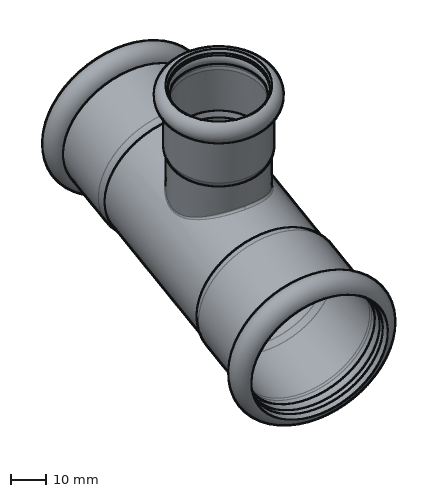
import cadquery as cq

RUN_LENGTH = 117.3
OVERALL_HEIGHT = 83.4
JUNCTION_FILLET = 0.7

RUN_SOCKET = dict(
    bead=52.7,
    bead_width=9.0,
    mouth=44.0,
    seat=42.7,
    seat_start=1.8,
    seat_end=8.2,
    seal_bore=41.6,
    seal_width=2.8,
    socket=45.4,
    socket_bore=42.3,
    step_start=29.6,
    step_end=31.9,
    pipe=44.0,
    pipe_bore=41.0,
)
BRANCH_SOCKET = dict(
    bead=36.7,
    bead_width=7.3,
    mouth=30.0,
    seat=28.9,
    seat_start=1.0,
    seat_end=6.2,
    seal_bore=27.6,
    seal_width=3.3,
    socket=31.4,
    socket_bore=28.4,
    step_start=23.1,
    step_end=25.1,
    pipe=30.0,
    pipe_bore=27.0,
)

BRANCH_HEIGHT = OVERALL_HEIGHT - RUN_SOCKET["bead"] / 2


def outer_half(size, length):
    """Solid of revolution about Z: mouth at Z = length, plain pipe down to Z = 0."""
    bead_end = length - size["bead_width"]
    step_top = length - size["step_start"]
    step_bottom = length - size["step_end"]
    bead_middle = length - size["bead_width"] / 2
    step_drop = (size["socket"] - size["pipe"]) / 2
    return (
        cq.Workplane("XZ")
        .lineTo(size["pipe"] / 2, 0)
        .lineTo(size["pipe"] / 2, step_bottom)
        .threePointArc(
            (size["socket"] / 2 - step_drop / 4, (step_top + step_bottom) / 2),
            (size["socket"] / 2, step_top),
        )
        .lineTo(size["socket"] / 2, bead_end)
        .threePointArc((size["bead"] / 2, bead_middle), (size["mouth"] / 2, length))
        .lineTo(0, length)
        .close()
        .revolve(360, (0, 0, 0), (0, 1, 0))
    )


def bore_half(size, length):
    """Space inside one half: flared lip, seal bulging inward, socket bore and pipe bore."""
    seat_top = length - size["seat_start"]
    seat_bottom = length - size["seat_end"]
    seal_middle = (seat_top + seat_bottom) / 2
    seal_top = seal_middle + size["seal_width"] / 2
    seal_bottom = seal_middle - size["seal_width"] / 2
    return (
        cq.Workplane("XZ")
        .lineTo(size["pipe_bore"] / 2, 0)
        .lineTo(size["pipe_bore"] / 2, length - size["step_end"])
        .lineTo(size["socket_bore"] / 2, length - size["step_start"])
        .lineTo(size["socket_bore"] / 2, length - size["bead_width"])
        .lineTo(size["seat"] / 2, seat_bottom)
        .lineTo(size["seat"] / 2, seal_bottom)
        .threePointArc((size["seal_bore"] / 2, seal_middle), (size["seat"] / 2, seal_top))
        .lineTo(size["seat"] / 2, seat_top)
        .lineTo(size["mouth"] / 2, length)
        .lineTo(0, length)
        .close()
        .revolve(360, (0, 0, 0), (0, 1, 0))
    )


def both_run_halves(half):
    """Lay an upright half along +X and join its mirror image along -X."""
    right = half.rotate((0, 0, 0), (0, 1, 0), 90)
    return right.union(right.mirror("YZ"))


run = both_run_halves(outer_half(RUN_SOCKET, RUN_LENGTH / 2))
branch = outer_half(BRANCH_SOCKET, BRANCH_HEIGHT)

BOX_MARGIN = 1.2
saddle_half_width = BRANCH_SOCKET["pipe"] / 2 + BOX_MARGIN
saddle_top = RUN_SOCKET["pipe"] / 2 + BOX_MARGIN
saddle_box = cq.selectors.BoxSelector(
    (-saddle_half_width, -saddle_half_width, BOX_MARGIN),
    (saddle_half_width, saddle_half_width, saddle_top),
    boundingbox=True,
)
body = run.union(branch).edges(saddle_box).fillet(JUNCTION_FILLET)

run_bore = both_run_halves(bore_half(RUN_SOCKET, RUN_LENGTH / 2))
branch_bore = bore_half(BRANCH_SOCKET, BRANCH_HEIGHT)

result = body.cut(run_bore).cut(branch_bore)